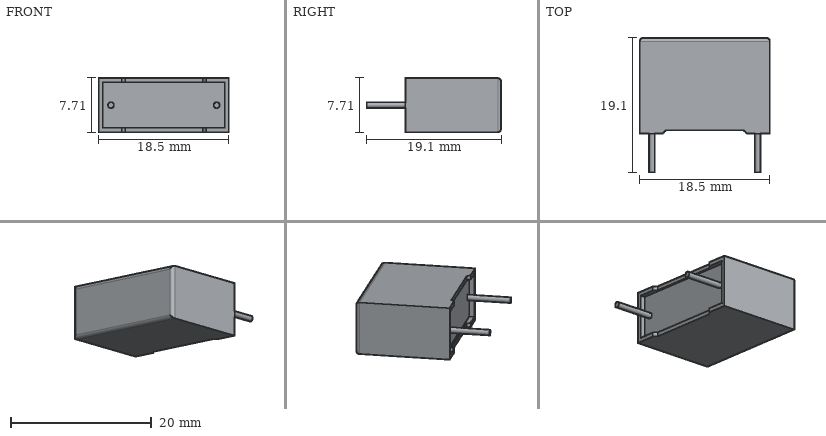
import cadquery as cq


case_width = 18.5
case_depth = 13.6
case_height = 7.71
wall = 0.62
back_edge_radius = 0.5

relief_outer_width = 12.0
relief_inner_width = 11.0
relief_depth = 0.47

potting_recess = 0.75
cavity_width = case_width - 2 * wall
cavity_height = case_height - 2 * wall
cavity_end = case_depth - wall

lead_diameter = 0.85
lead_pitch = 15.0
lead_reach = 5.5


def block(width, height, y_start, y_end):
    """Box centred on X and Z that spans y_start to y_end."""
    return cq.Workplane("XY").box(width, y_end - y_start, height).translate((0, (y_start + y_end) / 2, 0))


def make_case():
    """Box open towards -Y, with rounded back edges and a relief between its feet."""
    outer = block(case_width, case_height, 0, case_depth).faces(">Y").edges().fillet(back_edge_radius)
    cavity = block(cavity_width, cavity_height, 0, cavity_end)
    relief = (
        cq.Workplane("XY")
        .polyline([
            (-relief_outer_width / 2, 0),
            (relief_outer_width / 2, 0),
            (relief_inner_width / 2, relief_depth),
            (-relief_inner_width / 2, relief_depth),
        ])
        .close()
        .extrude(case_height / 2, both=True)
    )
    return outer.cut(cavity).cut(relief)


def make_potting():
    """Compound that fills the cavity up to the recessed face."""
    return block(cavity_width, cavity_height, potting_recess, cavity_end)


def make_lead(x):
    """Round wire from the potting face to beyond the feet."""
    lead_length = potting_recess + lead_reach
    return (
        cq.Workplane("XZ", origin=(x, potting_recess, 0))
        .circle(lead_diameter / 2)
        .extrude(lead_length)
    )


case = make_case()
potting = make_potting()
leads = [make_lead(side * lead_pitch / 2) for side in (-1, 1)]

result = cq.Compound.makeCompound([case.val(), potting.val(), *[lead.val() for lead in leads]])